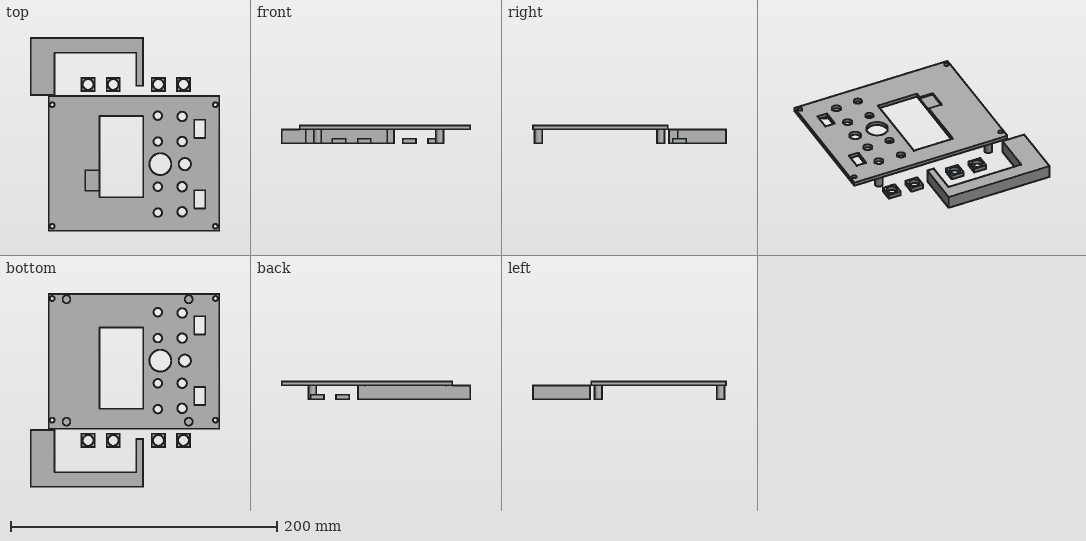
import cadquery as cq

overall_x = 142.0
overall_y = 145
overall_z = 13.5
right_edge = overall_x / 2
left_edge = -overall_x / 2
front_edge = -overall_y / 2
back_edge = overall_y / 2

plate_x = 128.3
plate_y = 101.4
plate_thickness = 3.0
plate_bottom = overall_z - plate_thickness
plate_left = right_edge - plate_x
plate_back = front_edge + plate_y

corner_hole_diameter = 3.5
corner_hole_left = plate_left + 2.6
corner_hole_right = right_edge - 3.0
corner_hole_front = front_edge + 3.5
corner_hole_back = plate_back - 6.5

leg_diameter = 6.0
leg_left = -44.0
leg_right = 47.8
leg_front = -68.5
leg_back = 23.5

control_axis_y = -22.3
inner_offset = 17.0
button_outer_offset = 35.8
button_hole_diameter = 7.0
button_column_x = 42.9
lamp_hole_diameter = 6.2
lamp_column_x = 24.6
lamp_outer_offset = 36.4
dial_hole_diameter = 16.2
dial_x = 26.5
socket_hole_diameter = 9.0
socket_x = 45
slot_x = 8.0
slot_y = 13.5
slot_centre_x = 56.1
slot_offset = 26.5

window_left = -19.1
window_right = 13.6
window_front = -47.1
window_back = 13.8
recess_left = -30.0
recess_front = -42.3
recess_back = -27.0
recess_depth = 1.5

bracket_height = plate_bottom
bracket_right = 13.6
bracket_inner_left = -52.8
bracket_inner_right = 8.3
bracket_inner_back = 61.3
bracket_long_arm_end = 29.6
bracket_short_arm_end = 36.4

collar_side = 10.0
collar_height = 3.5
collar_bore_diameter = 8.0
collar_row_x = 8.1
collar_row_y = 37.5


def box_between(x_min, x_max, y_min, y_max, z_min, z_max):
    """Axis-aligned block given by its limits."""
    return (
        cq.Workplane("XY", origin=(x_min, y_min, z_min))
        .box(x_max - x_min, y_max - y_min, z_max - z_min, centered=False)
    )


def cylinders(points, diameter, z_min, z_max):
    """Upright cylinders on the given X, Y points."""
    return (
        cq.Workplane("XY", origin=(0, 0, z_min))
        .pushPoints(points)
        .circle(diameter / 2)
        .extrude(z_max - z_min)
    )


def mirrored_offsets(inner, outer):
    """Four offsets, two on each side of zero."""
    return [-outer, -inner, inner, outer]


def make_panel():
    """Plate with its legs, control holes and display window."""
    panel = box_between(plate_left, right_edge, front_edge, plate_back, plate_bottom, overall_z)

    leg_points = [(x, y) for x in (leg_left, leg_right) for y in (leg_front, leg_back)]
    panel = panel.union(cylinders(leg_points, leg_diameter, 0, plate_bottom))

    corner_points = [
        (x, y)
        for x in (corner_hole_left, corner_hole_right)
        for y in (corner_hole_front, corner_hole_back)
    ]
    button_points = [
        (button_column_x, control_axis_y + offset)
        for offset in mirrored_offsets(inner_offset, button_outer_offset)
    ]
    lamp_points = [
        (lamp_column_x, control_axis_y + offset)
        for offset in mirrored_offsets(inner_offset, lamp_outer_offset)
    ]
    round_holes = [
        (corner_points, corner_hole_diameter),
        (button_points, button_hole_diameter),
        (lamp_points, lamp_hole_diameter),
        ([(dial_x, control_axis_y)], dial_hole_diameter),
        ([(socket_x, control_axis_y)], socket_hole_diameter),
    ]
    for points, diameter in round_holes:
        panel = panel.cut(cylinders(points, diameter, plate_bottom, overall_z))

    for side in (-1, 1):
        slot_centre_y = control_axis_y + side * slot_offset
        slot = box_between(
            slot_centre_x - slot_x / 2,
            slot_centre_x + slot_x / 2,
            slot_centre_y - slot_y / 2,
            slot_centre_y + slot_y / 2,
            plate_bottom,
            overall_z,
        )
        panel = panel.cut(slot)

    window = box_between(
        window_left, window_right, window_front, window_back, plate_bottom, overall_z
    )
    recess = box_between(
        recess_left, window_left, recess_front, recess_back, overall_z - recess_depth, overall_z
    )
    return panel.cut(window).cut(recess)


def make_bracket():
    """Hook-shaped bracket with a long wide arm and a short narrow arm."""
    outline = [
        (left_edge, bracket_long_arm_end),
        (bracket_inner_left, bracket_long_arm_end),
        (bracket_inner_left, bracket_inner_back),
        (bracket_inner_right, bracket_inner_back),
        (bracket_inner_right, bracket_short_arm_end),
        (bracket_right, bracket_short_arm_end),
        (bracket_right, back_edge),
        (left_edge, back_edge),
    ]
    return cq.Workplane("XY").polyline(outline).close().extrude(bracket_height)


def make_collar(x, y):
    """Square collar with a round bore."""
    return (
        cq.Workplane("XY", origin=(x, y, 0))
        .rect(collar_side, collar_side)
        .circle(collar_bore_diameter / 2)
        .extrude(collar_height)
    )


panel = make_panel()
bracket = make_bracket()
collars = [
    make_collar(collar_row_x + offset, collar_row_y)
    for offset in mirrored_offsets(inner_offset, button_outer_offset)
]

result = cq.Compound.makeCompound(
    [panel.val(), bracket.val(), *[collar.val() for collar in collars]]
)